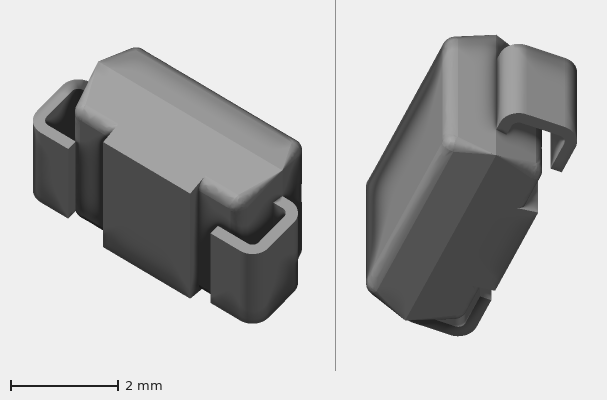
import cadquery as cq
import math

overall_width = 5.44
body_width = 4.325
body_height = 3.56

back_depth = 0.93
front_depth = 1.075
pad_depth = 1.34
lead_depth = 1.53

draft_angle = 10.0
edge_radius = 0.25
corner_radius = 0.265
parting_radius = 0.001
pad_width = 2.045

lead_width = 2.045
lead_thickness = 0.23
bend_radius = 0.145
left_foot_length = 1.02
right_foot_length = 1.07

BACK = 1
FRONT = -1
LEFT = -1
RIGHT = 1


def draft_inset(depth):
    """Distance by which a drafted wall has moved inward at this depth."""
    return depth * math.tan(math.radians(draft_angle))


def rounded_outline(inset, radius):
    """Body outline moved inward on all sides, with rounded corners."""
    width = body_width - 2 * inset
    height = body_height - 2 * inset
    return cq.Sketch().rect(width, height).vertices().fillet(radius)


def make_half(depth, side):
    """Half of the body: drafted walls, corners that widen outward, and a rounded outer rim."""
    parting = cq.Plane(origin=(0, 0, 0), xDir=(1, 0, 0), normal=(0, side, 0))
    outer_face = ">Y" if side == BACK else "<Y"
    parting_outline = rounded_outline(0, parting_radius)
    outer_outline = rounded_outline(draft_inset(depth), corner_radius)
    outer_outline = outer_outline.moved(cq.Location(cq.Vector(0, 0, depth)))
    half = cq.Workplane(parting).placeSketch(parting_outline, outer_outline).loft(ruled=True)
    return half.faces(outer_face).edges().fillet(edge_radius)


def make_pad():
    """Raised block across the front half, its ends continuing the drafted walls."""
    half_height = body_height / 2
    outer_half_height = half_height - draft_inset(pad_depth)
    return (
        cq.Workplane("YZ")
        .moveTo(0, -half_height)
        .lineTo(-pad_depth, -outer_half_height)
        .lineTo(-pad_depth, outer_half_height)
        .lineTo(0, half_height)
        .close()
        .extrude(pad_width / 2, both=True)
    )


def round_bends(strip, x, y_ends, radius):
    """Round the two upright edges of a strip at this X and these Y positions."""
    for y in y_ends:
        strip = strip.edges(cq.selectors.NearestToPointSelector((x, y, 0))).fillet(radius)
    return strip


def make_lead(side, foot_length):
    """C-shaped strip from the body wall, around the end and in under the body; on the given side."""
    outside = side * overall_width / 2
    inside = outside - side * lead_thickness
    foot_end = outside - side * foot_length
    wall = side * body_width / 2
    wall_inner = wall - side * draft_inset(lead_thickness)
    strip = (
        cq.Workplane("XY")
        .moveTo(wall, 0)
        .lineTo(outside, 0)
        .lineTo(outside, -lead_depth)
        .lineTo(foot_end, -lead_depth)
        .lineTo(foot_end, -lead_depth + lead_thickness)
        .lineTo(inside, -lead_depth + lead_thickness)
        .lineTo(inside, -lead_thickness)
        .lineTo(wall_inner, -lead_thickness)
        .close()
        .extrude(lead_width / 2, both=True)
    )
    outer_radius = bend_radius + lead_thickness
    strip = round_bends(strip, outside, (0, -lead_depth), outer_radius)
    return round_bends(strip, inside, (-lead_thickness, -lead_depth + lead_thickness), bend_radius)


back_half = make_half(back_depth, BACK)
front_half = make_half(front_depth, FRONT).union(make_pad())
foot_lengths = {LEFT: left_foot_length, RIGHT: right_foot_length}
leads = [make_lead(side, length) for side, length in foot_lengths.items()]

result = cq.Compound.makeCompound([
    back_half.val(),
    front_half.val(),
    *[lead.val() for lead in leads],
])